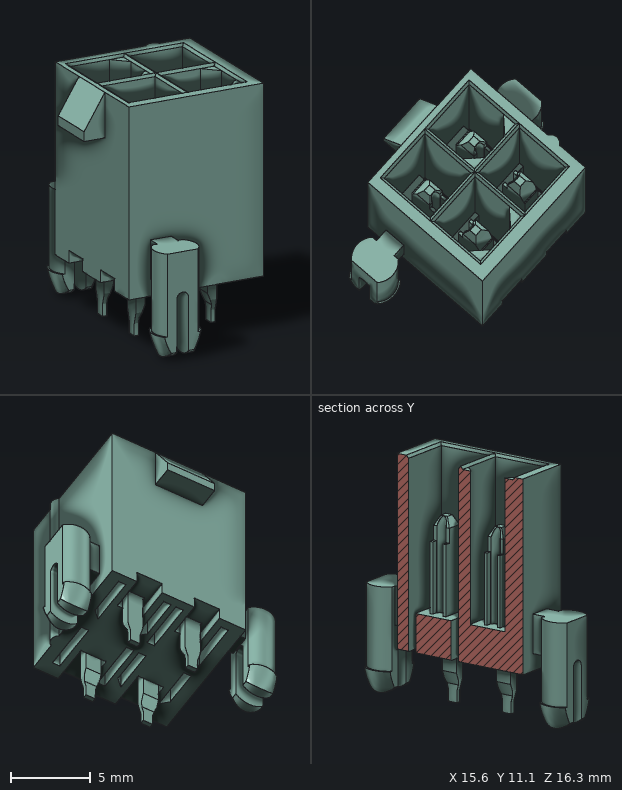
import cadquery as cq


body_width = 9.78
body_depth = 9.62
body_height = 12.85
front_y = -4.61
back_y = front_y + body_depth

pitch = 4.2
grid_x = -0.05
cavity_size = 3.85
cavity_half = cavity_size / 2
mouth_chamfer = (pitch - cavity_size) / 2
floor_z = 2.6
corner_leg = 0.98
polarised_cavities = [(-1, -1), (1, 1)]
floor_block_width = 2.77
slot_width = (cavity_size - floor_block_width) / 2
slot_end_gap = 0.33

notch_width = 1.85
notch_height = 0.85

plate_out = 2.89
plate_shoulder_out = 2.8
blade_width = 1.22
blade_out = 2.48
blade_in = 1.39
arm_in = 1.01
arm_thickness = 0.21
hollow_out = 1.3
hollow_radius = 0.36
clearance_gap = 0.11
tip_size = 0.5
tip_centre_out = 1.92
shoulder_z = 7.34
blade_z = 8.31
tip_z = 8.96

overall_height = 16.3
tail_length = overall_height - body_height
tail_width = 1.11
tail_end_width = 0.68
tail_in = 2.22
tail_end_in = 2.58
tail_side_taper = (-1.89, -2.64)
tail_thickness_taper = (-1.39, -2.25)

latch_width = 3.44
latch_reach = 1.48
latch_height = 3.03
latch_slope_height = 2.38

rib_y = 2.35
rib_width = 0.98
rib_reach = 0.28

overall_width = 15.6
peg_width = 2.0
peg_x = (overall_width - peg_width) / 2
peg_y = -2.33
peg_top = 3.75
peg_bottom = -3.33
peg_flat = 2.17
peg_depth = 3.02
barb_z = -1.76
barb_radius = 1.63
barb_end_radius = 1.1
barb_bulge = 0.07
peg_end_rise = 0.42
peg_slot_width = 0.85
peg_slot_top = 1.05
peg_arm_depth = 1.48
peg_arm_bottom = 1.15


def block(x0, x1, y0, y1, z0, z1):
    """Box between two values on each axis, given in either order."""
    size = (abs(x1 - x0), abs(y1 - y0), abs(z1 - z0))
    return cq.Workplane("XY").box(*size).translate(((x0 + x1) / 2, (y0 + y1) / 2, (z0 + z1) / 2))


def centred_block(x, width, y0, y1, z0, z1):
    return block(x - width / 2, x + width / 2, y0, y1, z0, z1)


def keying_corners(x, y):
    """Prisms covering the two +Y corners of a cavity."""
    corners = cq.Workplane("XY")
    for side in (-1, 1):
        corner_x = x + side * cavity_half
        corner_y = y + cavity_half
        corners = corners.add(
            cq.Workplane("XY")
            .polyline([
                (corner_x, corner_y),
                (corner_x - side * corner_leg, corner_y),
                (corner_x, corner_y - corner_leg),
            ])
            .close()
            .extrude(body_height - mouth_chamfer)
        )
    return corners.combine()


def cavity(column, row):
    """Space of one cavity: shaft, flared mouth and the two slots through the floor."""
    x = grid_x + column * pitch / 2
    y = row * pitch / 2
    space = centred_block(x, cavity_size, y - cavity_half, y + cavity_half, floor_z, body_height)
    for side in (-1, 1):
        wall_x = x + side * cavity_half
        space = space.union(block(
            wall_x, wall_x - side * slot_width,
            y - row * (cavity_half - slot_end_gap), y + row * cavity_half,
            0, floor_z,
        ))
    if (column, row) in polarised_cavities:
        space = space.cut(keying_corners(x, y))
    mouth_size = cavity_size + 2 * mouth_chamfer
    mouth = (
        cq.Workplane("XY", origin=(x, y, body_height - mouth_chamfer))
        .rect(cavity_size, cavity_size)
        .workplane(offset=mouth_chamfer)
        .rect(mouth_size, mouth_size)
        .loft(ruled=True)
    )
    return space.union(mouth)


def wall_opening(column, row):
    """Notch through the outer wall and the gap in the floor behind the terminal."""
    x = grid_x + column * pitch / 2
    wall_y = back_y if row > 0 else front_y
    notch = centred_block(x, notch_width, row * tail_in, wall_y, 0, notch_height)
    gap = centred_block(x, blade_width, row * plate_out, row * (plate_out + clearance_gap), 0, floor_z)
    return notch.union(gap)


def solder_tail():
    """Tail of a back-row terminal: its side profile trimmed to its front profile."""
    thin_start, thin_end = tail_thickness_taper
    side_profile = (
        cq.Workplane("YZ")
        .polyline([
            (plate_out, floor_z),
            (tail_in, floor_z),
            (tail_in, thin_start),
            (tail_end_in, thin_end),
            (tail_end_in, -tail_length),
            (plate_out, -tail_length),
        ])
        .close()
        .extrude(tail_width / 2, both=True)
    )
    narrow_start, narrow_end = tail_side_taper
    half = tail_width / 2
    end_half = tail_end_width / 2
    front_profile = (
        cq.Workplane("XZ")
        .polyline([
            (-half, floor_z),
            (-half, narrow_start),
            (-end_half, narrow_end),
            (-end_half, -tail_length),
            (end_half, -tail_length),
            (end_half, narrow_end),
            (half, narrow_start),
            (half, floor_z),
        ])
        .close()
        .extrude(-back_y)
    )
    return side_profile.intersect(front_profile)


def terminal():
    """Back-row terminal centred on X = 0: blade, tapered tip, folded arms and tail."""
    blade = (
        cq.Workplane("YZ")
        .polyline([
            (blade_in, notch_height),
            (plate_out, notch_height),
            (plate_out, shoulder_z),
            (plate_shoulder_out, shoulder_z),
            (blade_out, blade_z),
            (blade_in, blade_z),
        ])
        .close()
        .extrude(blade_width / 2, both=True)
    )
    base_centre_out = (blade_in + blade_out) / 2
    tip = (
        cq.Workplane("XY", origin=(0, base_centre_out, blade_z))
        .rect(blade_width, blade_out - blade_in)
        .workplane(offset=tip_z - blade_z)
        .center(0, tip_centre_out - base_centre_out)
        .rect(tip_size, tip_size)
        .loft(ruled=True)
    )
    hollow = (
        cq.Workplane("XY", origin=(0, hollow_out, floor_z))
        .circle(hollow_radius)
        .extrude(tip_z - floor_z)
    )
    pin = blade.union(tip).cut(hollow).union(solder_tail())
    for side in (-1, 1):
        edge_x = side * blade_width / 2
        pin = pin.union(block(
            edge_x, edge_x - side * arm_thickness, arm_in, blade_in, notch_height, shoulder_z,
        ))
    return pin


def latch():
    top = body_height
    return (
        cq.Workplane("YZ")
        .polyline([
            (front_y, top),
            (front_y - latch_reach, top - latch_slope_height),
            (front_y - latch_reach, top - latch_height),
            (front_y, top - latch_height),
        ])
        .close()
        .extrude(latch_width / 2, both=True)
    )


def rib():
    wall_x = -body_width / 2
    return (
        cq.Workplane("XY")
        .moveTo(wall_x, rib_y - rib_width / 2)
        .threePointArc((wall_x - rib_reach, rib_y), (wall_x, rib_y + rib_width / 2))
        .close()
        .extrude(body_height)
    )


def peg():
    """Split peg on the right side, with the arm that joins it to the housing."""
    half = peg_width / 2
    shank = (
        cq.Workplane("XY")
        .moveTo(-half, -peg_flat / 2)
        .threePointArc((0, -peg_depth / 2), (half, -peg_flat / 2))
        .lineTo(half, peg_flat / 2)
        .threePointArc((0, peg_depth / 2), (-half, peg_flat / 2))
        .close()
        .extrude(peg_top - barb_z)
        .translate((0, 0, barb_z))
    )
    barb = (
        cq.Workplane("XZ")
        .moveTo(0, peg_bottom)
        .lineTo(barb_end_radius, peg_bottom)
        .threePointArc(
            ((barb_radius + barb_end_radius) / 2 + barb_bulge, (barb_z + peg_bottom) / 2),
            (barb_radius, barb_z),
        )
        .lineTo(0, barb_z)
        .close()
        .revolve(360, (0, 0, 0), (0, 1, 0))
    )
    rounded_end = (
        cq.Workplane("XZ")
        .moveTo(-half, barb_z)
        .lineTo(-half, peg_bottom + peg_end_rise)
        .threePointArc((0, peg_bottom), (half, peg_bottom + peg_end_rise))
        .lineTo(half, barb_z)
        .close()
        .extrude(barb_radius, both=True)
    )
    arch_z = peg_slot_top - peg_slot_width / 2
    slot = centred_block(0, peg_width, -peg_slot_width / 2, peg_slot_width / 2, peg_bottom, arch_z)
    arch = (
        cq.Workplane("YZ", origin=(0, 0, arch_z))
        .circle(peg_slot_width / 2)
        .extrude(half, both=True)
    )
    split_peg = shank.union(barb.intersect(rounded_end)).cut(slot).cut(arch)
    arm = block(
        body_width / 2 - peg_x, -half, -peg_arm_depth / 2, peg_arm_depth / 2, peg_arm_bottom, peg_top,
    )
    return split_peg.union(arm).translate((peg_x, peg_y, 0))


grid = [(column, row) for column in (-1, 1) for row in (-1, 1)]

result = centred_block(0, body_width, front_y, back_y, 0, body_height)
for column, row in grid:
    result = result.cut(cavity(column, row)).cut(wall_opening(column, row))

back_terminal = terminal()
front_terminal = back_terminal.mirror("XZ")
for column, row in grid:
    row_terminal = back_terminal if row > 0 else front_terminal
    result = result.union(row_terminal.translate((grid_x + column * pitch / 2, 0, 0)))

right_peg = peg()
result = result.union(latch()).union(rib()).union(right_peg).union(right_peg.mirror("YZ"))